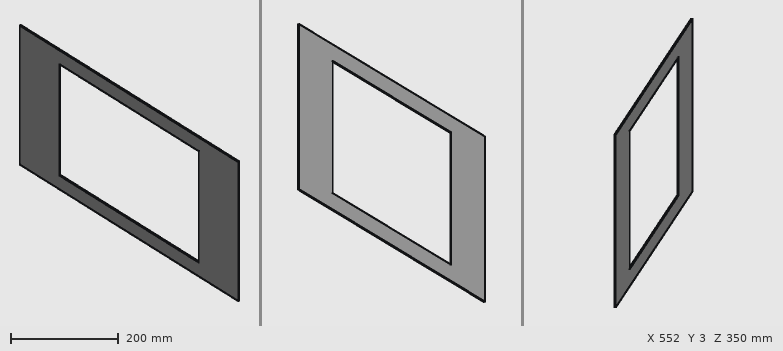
import cadquery as cq

plate_width = 552.0
plate_height = 350.0
plate_thickness = 3.0

side_border = 100.5
end_border = 35.0

window_width = plate_width - 2 * side_border
window_height = plate_height - 2 * end_border

plate = cq.Workplane("XY").box(plate_width, plate_thickness, plate_height)
window = cq.Workplane("XY").box(window_width, 2 * plate_thickness, window_height)

result = plate.cut(window)